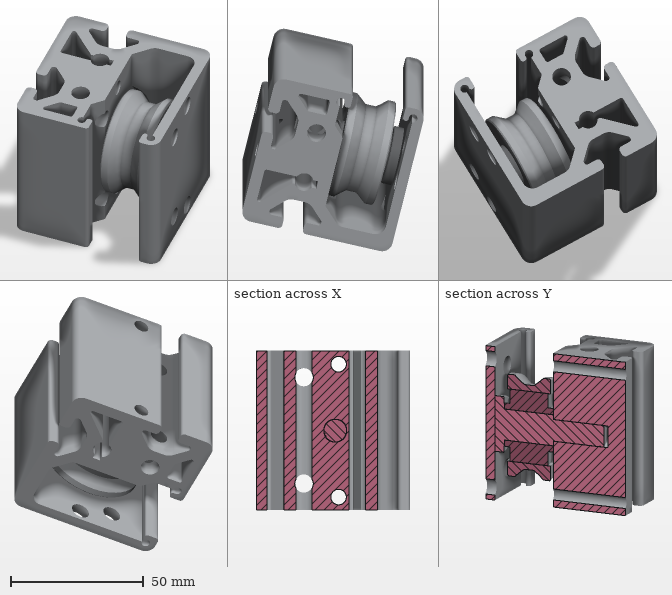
import cadquery as cq

WIDTH = 58.0
LENGTH = 60.0
CORNER_RADIUS = 4.0
EDGE_TOLERANCE = 0.05
OVERLAP = 1.0

SLOT_OPENING = 8.0
SLOT_DEPTH = 12.3
SLOT_CAVITY_WIDTH = 20.0
SLOT_FLOOR_WIDTH = 8.0
SLOT_FLOOR_RADIUS = 4.5
SLOT_CORNER_RADIUS = 1.0
LIP_THICKNESS = 4.5
LIP_RADIUS = 1.5
TOP_SLOT_X = 20.0
LEFT_SLOT_Y = 18.0

CORE_BORE_DIAMETER = 7.0
CORE_X = TOP_SLOT_X
LOWER_CORE_Y = LEFT_SLOT_Y
UPPER_CORE_Y = 38.0
KEYWAY_WIDTH = 3.0
KEYWAY_END_X = 25.0

CHAMBER_WALL = 4.4
CHAMBER_CORNER_RADIUS = 0.9
UPPER_CHAMBER_TOP_Y = 50.9
LOWER_CHAMBER_LEFT = 10.0
LOWER_CHAMBER_RIGHT = 22.0
LOWER_CHAMBER_BOTTOM = 4.2
LOWER_CHAMBER_TOP = 10.3
LOWER_CHAMBER_SIDE = 1.3

CHANNEL_LEFT = 30.0
CHANNEL_RIGHT = 54.0
CHANNEL_TOP = 52.0
CHANNEL_TOP_RADIUS = 4.0
UPPER_BEVEL_Y = 45.4
MOUTH_LEFT = 26.0
LOWER_BEVEL_Y = 17.5
HOOK_RIGHT = 50.3
HOOK_TOP = 5.5
HOOK_TIP_RADIUS = 1.0
HOOK_BASE_RADIUS = 1.2
GROOVE_RADIUS = 1.6
GROOVE_Y = HOOK_TOP - GROOVE_RADIUS
LEFT_TIP_X = MOUTH_LEFT + GROOVE_RADIUS
RIGHT_TIP_X = CHANNEL_RIGHT - GROOVE_RADIUS

WALL_HOLE_DIAMETER = 5.7
WALL_HOLE_Y = 31.0
WALL_HOLE_Z = 25.0
SCREW_HOLE_DIAMETER = 6.8
SCREW_HOLE_Z = 20.0
ACCESS_HOLE_DIAMETER = 7.0

AXIS_Y = 29.75
ROLLER_X = 40.0
ROLLER_WIDTH = 18.0
ROLLER_DIAMETER = 39.9
GROOVE_DIAMETER = 33.3
GROOVE_FLOOR_WIDTH = 4.0
GROOVE_MOUTH_WIDTH = 12.0
ROLLER_CHAMFER = 0.5
CLEARANCE_DIAMETER = 42.0
BEARING_DIAMETER = 28.0
BEARING_WIDTH = 16.0
SLEEVE_DIAMETER = 17.3
AXLE_HEAD_X = HOOK_RIGHT
SLEEVE_CHAMFER = 0.4
JOURNAL_DIAMETER = 12.0
THREAD_DIAMETER = 8.38
THREAD_BORE_END_X = 7.5
THREAD_END_X = 9.0
HEAD_DIAMETER = 22.0
HEAD_CHAMFER = 0.3


def prism(points):
    """Full-length prism with the given XY outline."""
    return cq.Workplane("XY").polyline(points).close().extrude(LENGTH / 2 + OVERLAP, both=True)


def round_edges(solid, points, radius):
    """Fillet the lengthwise edges standing on the given XY points."""
    for x, y in points:
        box = cq.selectors.BoxSelector((x - EDGE_TOLERANCE, y - EDGE_TOLERANCE, -LENGTH),
                                       (x + EDGE_TOLERANCE, y + EDGE_TOLERANCE, LENGTH))
        solid = solid.edges(box).fillet(radius)
    return solid


def rod(diameter, x_start, x_end, y, z=0.0):
    """Cylinder along X."""
    return (cq.Workplane("YZ", origin=(x_start, y, z)).circle(diameter / 2)
            .extrude(x_end - x_start))


def t_slot():
    """Slot cutter opening at Y = 0 and running down to -SLOT_DEPTH."""
    opening = SLOT_OPENING / 2
    cavity = SLOT_CAVITY_WIDTH / 2
    floor = SLOT_FLOOR_WIDTH / 2
    shoulder = -SLOT_DEPTH + cavity - floor
    half = [(opening, OVERLAP), (opening, -LIP_THICKNESS), (cavity, -LIP_THICKNESS),
            (cavity, shoulder), (floor, -SLOT_DEPTH)]
    slot = prism(half + [(-x, y) for x, y in reversed(half)])
    for side in (1, -1):
        slot = round_edges(slot, [(side * floor, -SLOT_DEPTH)], SLOT_FLOOR_RADIUS)
        slot = round_edges(slot, [(side * cavity, -LIP_THICKNESS), (side * cavity, shoulder)],
                           SLOT_CORNER_RADIUS)
    return slot


def core_bore(y):
    """Full-length round cutter in the core."""
    return (cq.Workplane("XY").center(CORE_X, y).circle(CORE_BORE_DIAMETER / 2)
            .extrude(LENGTH / 2 + OVERLAP, both=True))


def upper_chamber():
    """Triangular chamber, keyhole slot and the core bore it runs into."""
    bottom = UPPER_CORE_Y - KEYWAY_WIDTH / 2
    top = UPPER_CORE_Y + KEYWAY_WIDTH / 2
    slope_end = CHAMBER_WALL + UPPER_CHAMBER_TOP_Y - top
    corners = [(CHAMBER_WALL, bottom), (CHAMBER_WALL, UPPER_CHAMBER_TOP_Y)]
    chamber = prism(corners + [(slope_end, top), (KEYWAY_END_X, top), (KEYWAY_END_X, bottom)])
    return round_edges(chamber, corners, CHAMBER_CORNER_RADIUS).union(core_bore(UPPER_CORE_Y))


def lower_chamber():
    """Chamber in the lower left corner with one bevelled corner."""
    side_top = LOWER_CHAMBER_BOTTOM + LOWER_CHAMBER_SIDE
    slope_end = LOWER_CHAMBER_LEFT + LOWER_CHAMBER_TOP - side_top
    points = [(LOWER_CHAMBER_LEFT, LOWER_CHAMBER_BOTTOM), (LOWER_CHAMBER_LEFT, side_top),
              (slope_end, LOWER_CHAMBER_TOP), (LOWER_CHAMBER_RIGHT, LOWER_CHAMBER_TOP),
              (LOWER_CHAMBER_RIGHT, LOWER_CHAMBER_BOTTOM)]
    return round_edges(prism(points), points, CHAMBER_CORNER_RADIUS)


def roller_channel():
    """Space around the roller, down to the hooks and out between them."""
    bevel_end = CHANNEL_LEFT + CHANNEL_TOP - UPPER_BEVEL_Y
    lower_bevel_end = LOWER_BEVEL_Y - (CHANNEL_LEFT - MOUTH_LEFT)
    top_corners = [(bevel_end, CHANNEL_TOP), (CHANNEL_RIGHT, CHANNEL_TOP)]
    channel = prism([(CHANNEL_LEFT, LOWER_BEVEL_Y), (CHANNEL_LEFT, UPPER_BEVEL_Y), *top_corners,
                     (CHANNEL_RIGHT, GROOVE_Y), (RIGHT_TIP_X, GROOVE_Y), (RIGHT_TIP_X, HOOK_TOP),
                     (HOOK_RIGHT, HOOK_TOP), (HOOK_RIGHT, -OVERLAP), (CHANNEL_LEFT, -OVERLAP),
                     (CHANNEL_LEFT, HOOK_TOP), (LEFT_TIP_X, HOOK_TOP), (LEFT_TIP_X, GROOVE_Y),
                     (MOUTH_LEFT, GROOVE_Y), (MOUTH_LEFT, lower_bevel_end)])
    return round_edges(channel, top_corners, CHANNEL_TOP_RADIUS)


def hook_grooves():
    """Round grooves at the foot of both channel walls."""
    return (cq.Workplane("XY").pushPoints([(MOUTH_LEFT, GROOVE_Y), (CHANNEL_RIGHT, GROOVE_Y)])
            .circle(GROOVE_RADIUS).extrude(LENGTH / 2 + OVERLAP, both=True))


def make_profile():
    """Extruded housing with T-slots, roller channel, chambers and holes."""
    profile = (cq.Workplane("XY").rect(WIDTH, WIDTH, centered=False).extrude(LENGTH / 2, both=True)
               .edges("|Z").fillet(CORNER_RADIUS))
    profile = profile.cut(t_slot().translate((TOP_SLOT_X, WIDTH, 0)))
    profile = profile.cut(t_slot().rotate((0, 0, 0), (0, 0, 1), 90).translate((0, LEFT_SLOT_Y, 0)))
    profile = profile.cut(roller_channel())

    for side in (1, -1):
        across = side * SLOT_OPENING / 2
        for depth in (0, LIP_THICKNESS):
            lip_edges = [(TOP_SLOT_X + across, WIDTH - depth), (depth, LEFT_SLOT_Y + across)]
            profile = round_edges(profile, lip_edges, LIP_RADIUS)
    hook_tips = [(x, HOOK_TOP) for x in (LEFT_TIP_X, CHANNEL_LEFT, HOOK_RIGHT, RIGHT_TIP_X)]
    profile = round_edges(profile, hook_tips, HOOK_TIP_RADIUS)
    profile = round_edges(profile, [(CHANNEL_LEFT, 0), (HOOK_RIGHT, 0)], HOOK_BASE_RADIUS)

    profile = profile.cut(hook_grooves())
    profile = profile.cut(upper_chamber()).cut(lower_chamber()).cut(core_bore(LOWER_CORE_Y))

    for side in (1, -1):
        profile = profile.cut(rod(WALL_HOLE_DIAMETER, -OVERLAP, CHANNEL_LEFT + OVERLAP,
                                  WALL_HOLE_Y, side * WALL_HOLE_Z))
        profile = profile.cut(rod(SCREW_HOLE_DIAMETER, 0, CHANNEL_LEFT + OVERLAP,
                                  LEFT_SLOT_Y, side * SCREW_HOLE_Z))
        for y, z in ((WALL_HOLE_Y, WALL_HOLE_Z), (LEFT_SLOT_Y, SCREW_HOLE_Z)):
            profile = profile.cut(rod(ACCESS_HOLE_DIAMETER, CHANNEL_RIGHT - OVERLAP, WIDTH + OVERLAP,
                                      y, side * z))

    profile = profile.cut(rod(CLEARANCE_DIAMETER, CHANNEL_LEFT, CHANNEL_RIGHT, AXIS_Y))
    return profile.cut(rod(THREAD_DIAMETER, THREAD_BORE_END_X, CHANNEL_LEFT, AXIS_Y))


def make_roller():
    """V-grooved roller."""
    radius = ROLLER_DIAMETER / 2
    bore = BEARING_DIAMETER / 2
    half = [(ROLLER_WIDTH / 2, bore), (ROLLER_WIDTH / 2, radius - ROLLER_CHAMFER),
            (ROLLER_WIDTH / 2 - ROLLER_CHAMFER, radius), (GROOVE_MOUTH_WIDTH / 2, radius),
            (GROOVE_FLOOR_WIDTH / 2, GROOVE_DIAMETER / 2)]
    outline = half + [(-x, r) for x, r in reversed(half)]
    return (cq.Workplane("XY", origin=(ROLLER_X, AXIS_Y, 0)).polyline(outline).close()
            .revolve(360, (0, 0, 0), (1, 0, 0)))


def make_bearing():
    """Bearing with a narrower sleeve standing out on both sides."""
    ring = rod(BEARING_DIAMETER, ROLLER_X - BEARING_WIDTH / 2, ROLLER_X + BEARING_WIDTH / 2, AXIS_Y)
    sleeve = (rod(SLEEVE_DIAMETER, CHANNEL_LEFT, AXLE_HEAD_X, AXIS_Y)
              .faces("<X or >X").chamfer(SLEEVE_CHAMFER))
    return ring.union(sleeve).cut(rod(JOURNAL_DIAMETER, CHANNEL_LEFT, AXLE_HEAD_X, AXIS_Y))


def make_axle():
    """Axle bolt: head against the right wall, journal, and end set into the profile core."""
    head = (rod(HEAD_DIAMETER, AXLE_HEAD_X, CHANNEL_RIGHT, AXIS_Y)
            .faces("<X").chamfer(HEAD_CHAMFER))
    return (head.union(rod(JOURNAL_DIAMETER, CHANNEL_LEFT, AXLE_HEAD_X, AXIS_Y))
            .union(rod(THREAD_DIAMETER, THREAD_END_X, CHANNEL_LEFT, AXIS_Y)))


profile = make_profile()
roller = make_roller()
bearing = make_bearing()
axle = make_axle()

result = cq.Compound.makeCompound([profile.val(), roller.val(), bearing.val(), axle.val()])